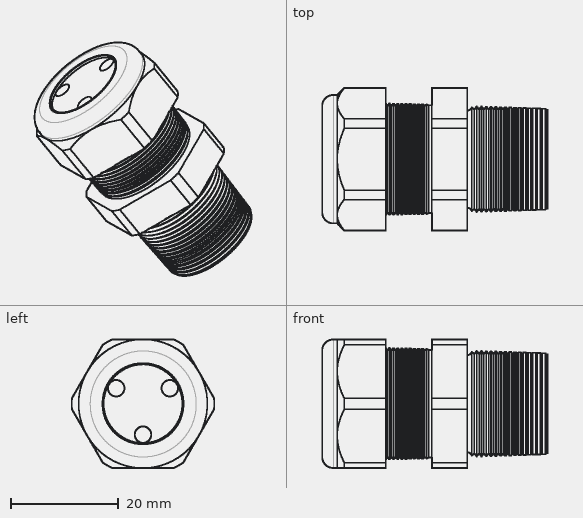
import cadquery as cq
import math


total_length = 41.9
dome_end = 2.1
cap_chamfer_start = 2.8
cap_end = 11.85
collar_start = 20.35
collar_end = 26.95

across_flats = 23.9
across_corners = 26.5
corner_radius = across_corners / 2
hexagon_circumdiameter = across_flats / math.cos(math.pi / 6)

cap_rim_radius = across_flats / 2
dome_radius = dome_end
cap_chamfer_end = cap_chamfer_start + corner_radius - cap_rim_radius

front_root_count = 10
front_first_root = 12.1
front_last_root = 19.03
front_pitch = (front_last_root - front_first_root) / (front_root_count - 1)
front_root_radius = 9.9
front_crest_start_radius = 10.35
front_crest_end_radius = 10.2
front_runout_radius = 10.0

rear_root_count = 16
rear_first_root = 28.25
rear_last_root = 41.57
rear_pitch = (rear_last_root - rear_first_root) / (rear_root_count - 1)
rear_root_radius = 9.2
rear_crest_start_radius = 9.85
rear_crest_end_radius = 9.4
rear_end_radius = 9.18
neck_radius = 9.05
neck_fillet_end = 27.8
neck_fillet_height = 0.6

flank_ratio = 0.75

insert_radius = 7.55
recess_radius = 7.3
recess_depth = 0.5
cable_hole_radius = 1.5
cable_hole_circle_radius = 5.75
cable_hole_count = 3
first_cable_hole_angle = -90.0


def cylinder_along_x(radius, start, end):
    """A round bar on the X axis from start to end."""
    return cq.Workplane("YZ", origin=(start, 0, 0)).circle(radius).extrude(end - start)


def revolve_about_x(outline):
    """Turn a closed outline, drawn as (x, radius), around the X axis."""
    return outline.close().revolve(360, (0, 0, 0), (1, 0, 0))


def hexagon_bar(start, end):
    """A hexagon with corners at +Y and -Y, its corners trimmed round."""
    bar = (
        cq.Workplane("YZ", origin=(start, 0, 0))
        .polygon(6, hexagon_circumdiameter)
        .extrude(end - start)
    )
    return bar.intersect(cylinder_along_x(corner_radius, start, end))


def thread_points(first_root, pitch, root_count, root_radius, crest_start_radius, crest_end_radius):
    """Profile of ring grooves of one root radius, cut into crests that taper along the thread."""
    length = pitch * (root_count - 1)
    points = []
    for index in range(root_count):
        root = first_root + index * pitch
        points.append((root, root_radius))
        if index == root_count - 1:
            break
        middle = root + pitch / 2
        taper = (middle - first_root) / length
        crest_radius = crest_start_radius + taper * (crest_end_radius - crest_start_radius)
        groove_half_width = flank_ratio * (crest_radius - root_radius)
        crest_half_width = pitch / 2 - groove_half_width
        points.append((middle - crest_half_width, crest_radius))
        points.append((middle + crest_half_width, crest_radius))
    return points


def make_cap():
    """Hexagon nut with a domed front rim and a chamfer behind the rim."""
    hexagon = hexagon_bar(cap_chamfer_start, cap_end)
    chamfer_cone = revolve_about_x(
        cq.Workplane("XY")
        .moveTo(cap_chamfer_start, 0)
        .lineTo(cap_chamfer_start, cap_rim_radius)
        .lineTo(cap_chamfer_end, corner_radius)
        .lineTo(cap_end, corner_radius)
        .lineTo(cap_end, 0)
    )
    dome_face_radius = cap_rim_radius - dome_radius
    arc_step = dome_radius * math.sqrt(0.5)
    dome_middle = (dome_end - arc_step, dome_face_radius + arc_step)
    dome = revolve_about_x(
        cq.Workplane("XY")
        .lineTo(0, dome_face_radius)
        .threePointArc(dome_middle, (dome_end, cap_rim_radius))
        .lineTo(cap_chamfer_start, cap_rim_radius)
        .lineTo(cap_chamfer_start, 0)
    )
    return hexagon.intersect(chamfer_cone).union(dome)


def make_front_thread():
    """Threaded stretch between the cap and the collar."""
    thread = thread_points(
        front_first_root,
        front_pitch,
        front_root_count,
        front_root_radius,
        front_crest_start_radius,
        front_crest_end_radius,
    )
    last_crest = front_last_root + front_pitch / 2
    runout_start = front_last_root + front_pitch
    outline = cq.Workplane("XY").moveTo(cap_end, 0).lineTo(cap_end, front_crest_start_radius)
    for point in thread:
        outline = outline.lineTo(*point)
    outline = (
        outline.lineTo(last_crest, front_crest_end_radius)
        .lineTo(runout_start, front_runout_radius)
        .lineTo(collar_start, front_runout_radius)
        .lineTo(collar_start, 0)
    )
    return revolve_about_x(outline)


def make_rear_thread():
    """Tapered thread behind the collar, with a relief at its start."""
    thread = thread_points(
        rear_first_root,
        rear_pitch,
        rear_root_count,
        rear_root_radius,
        rear_crest_start_radius,
        rear_crest_end_radius,
    )
    first_crest = (neck_fillet_end, neck_radius + neck_fillet_height)
    sweep_length = neck_fillet_end - collar_end
    sweep_radius = (sweep_length**2 + neck_fillet_height**2) / (2 * neck_fillet_height)
    half_sweep_angle = math.asin(sweep_length / sweep_radius) / 2
    neck_middle = (
        collar_end + sweep_radius * math.sin(half_sweep_angle),
        neck_radius + sweep_radius * (1 - math.cos(half_sweep_angle)),
    )
    outline = (
        cq.Workplane("XY")
        .moveTo(collar_end, 0)
        .lineTo(collar_end, neck_radius)
        .threePointArc(neck_middle, first_crest)
    )
    for point in thread:
        outline = outline.lineTo(*point)
    outline = (
        outline.lineTo(rear_last_root, rear_end_radius)
        .lineTo(total_length, rear_end_radius)
        .lineTo(total_length, 0)
    )
    return revolve_about_x(outline)


def make_gland():
    """Cap, threads and collar in one piece, with a through bore for the insert."""
    collar = hexagon_bar(collar_start, collar_end)
    bore = cylinder_along_x(insert_radius, 0, total_length)
    return make_cap().union(make_front_thread()).union(collar).union(make_rear_thread()).cut(bore)


def make_insert():
    """Plug that fills the bore, with a shallow front recess and three cable holes."""
    insert = cylinder_along_x(insert_radius, 0, total_length)
    insert = insert.cut(cylinder_along_x(recess_radius, 0, recess_depth))
    cable_holes = (
        cq.Workplane("YZ")
        .polarArray(cable_hole_circle_radius, first_cable_hole_angle, 360, cable_hole_count)
        .circle(cable_hole_radius)
        .extrude(total_length)
    )
    return insert.cut(cable_holes)


gland = make_gland()
insert = make_insert()

result = cq.Compound.makeCompound([gland.val(), insert.val()])